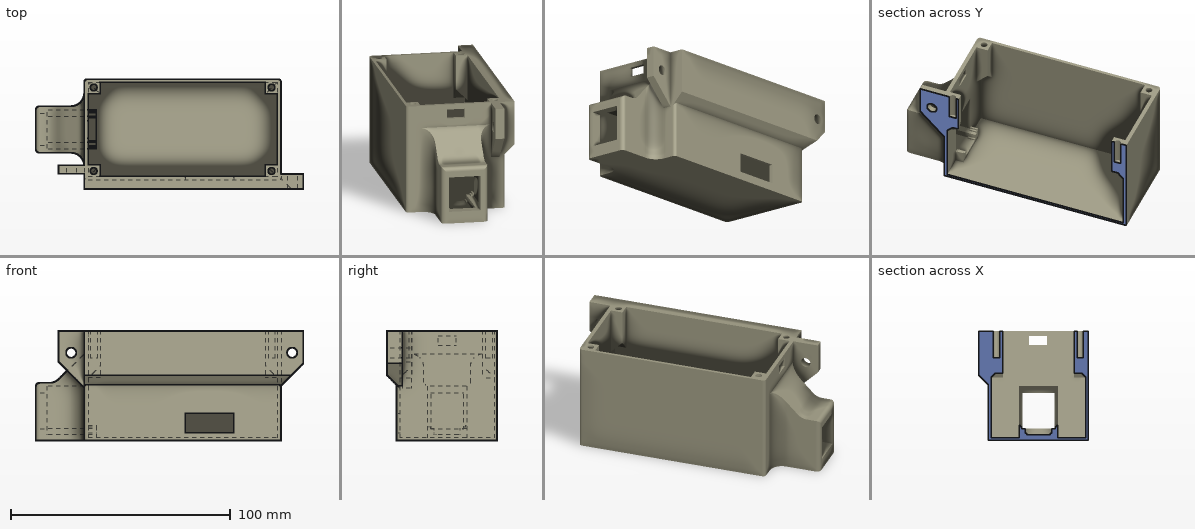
import cadquery as cq
import math

height = 50.0
depth = 50.1
length = 122.0

box_left = 22.1
box_right = 111.9
box_front = 4.3
corner_radius = 1.5
end_wall = 1.8
front_wall = 1.6
back_wall = 1.3
floor = 1.5
box_mid_y = (box_front + depth) / 2

post_x = 5.5
post_y = 5.4
post_height = 15.9
post_hole_diameter = 3.0
post_hole_depth = 12.2
post_hole_offset = 2.9

flange_thickness = 7.0
flange_drop = 20.3
ear_left_end = 10.4
ear_left_thickness = 4.0
ear_left_drop = 14.2
ear_right_drop = 14.9
ear_hole_diameter = 4.5
ear_hole_drop = 10.0
ear_hole_left_x = 16.2
ear_hole_right_x = 116.9

snout_width = 21.4
snout_height = 26.4
snout_edge_radius = 2.0
flare_radius = 5.9
snout_flat_end = 6.3
ramp_radius = 6.0

jack_mid_y = 27.3
mouth_width = 14.6
mouth_bottom = 5.5
mouth_top = 21.7
mouth_depth = 5.0
tunnel_width = 17.9
tunnel_floor = 2.8
tunnel_top = 24.9
rail_end = 27.6
rail_top = 5.6
rail_gap = 11.8
toe_width = 0.7
step_width = 0.7
step_height = 0.7

window_left = 68.1
window_right = 90.2
window_bottom = 3.7
window_top = 12.5
slot_width = 8.2
slot_bottom = 43.4
slot_top = 47.7


def block(x0, x1, y0, y1, z0, z1):
    return cq.Workplane("XY").box(x1 - x0, y1 - y0, z1 - z0, centered=False).translate((x0, y0, z0))


def prism_along_y(outline, y0, y1):
    """Extrude a closed XZ workplane outline from y0 to y1."""
    return outline.extrude(y0 - y1).translate((0, y0, 0))


def prism_along_x(outline, x0, x1):
    """Extrude a closed YZ workplane outline from x0 to x1."""
    return outline.extrude(x1 - x0).translate((x0, 0, 0))


inner_left = box_left + end_wall
inner_right = box_right - end_wall
inner_front = box_front + front_wall
inner_back = depth - back_wall

outer_box = block(box_left, box_right, box_front, depth, 0, height).edges("|Z").fillet(corner_radius)
cavity = block(inner_left, inner_right, inner_front, inner_back, floor, height)


def make_flange():
    """Bar with its underside running back at 45 degrees to the box and up at 45 degrees to the right end."""
    slope_bottom = height - flange_drop - flange_thickness
    section = [
        (0, height),
        (0, height - flange_drop),
        (flange_thickness, slope_bottom),
        (flange_thickness, height),
    ]
    bar = prism_along_x(cq.Workplane("YZ").polyline(section).close(), box_left, length)
    ear_slope = length - inner_right
    ear_corner = height - ear_right_drop
    face = [
        (box_left, height),
        (box_left, slope_bottom),
        (inner_right, slope_bottom),
        (inner_right, ear_corner - ear_slope),
        (length, ear_corner),
        (length, height),
    ]
    return bar.intersect(prism_along_y(cq.Workplane("XZ").polyline(face).close(), 0, flange_thickness))


def make_left_ear():
    """Plate behind the flange whose lower edge falls at 45 degrees towards the box."""
    ear_corner = height - ear_left_drop
    root_bottom = ear_corner - (box_left - ear_left_end)
    face = [
        (ear_left_end, height),
        (ear_left_end, ear_corner),
        (box_left, root_bottom),
        (inner_left, root_bottom),
        (inner_left, height),
    ]
    outline = cq.Workplane("XZ").polyline(face).close()
    return prism_along_y(outline, flange_thickness, flange_thickness + ear_left_thickness)


def ear_hole(x):
    outline = cq.Workplane("XZ").center(x, height - ear_hole_drop).circle(ear_hole_diameter / 2)
    return prism_along_y(outline, 0, flange_thickness + ear_left_thickness)


def post_corners(x_side, y_side):
    """Wall corner and free corner of the post; x_side and y_side are -1 or 1."""
    wall_x = inner_left if x_side < 0 else inner_right
    wall_y = inner_front if y_side < 0 else inner_back
    return wall_x, wall_y, wall_x - x_side * post_x, wall_y - y_side * post_y


def make_post(x_side, y_side):
    """Post in one box corner, carried on the walls by two 45 degree wedges."""
    wall_x, wall_y, free_x, free_y = post_corners(x_side, y_side)
    bottom = height - post_height
    low_x, high_x = sorted((wall_x, free_x))
    low_y, high_y = sorted((wall_y, free_y))
    x_wedge = [(free_x, bottom), (wall_x, bottom), (wall_x, bottom - post_x)]
    y_wedge = [(free_y, bottom), (wall_y, bottom), (wall_y, bottom - post_y)]
    post = block(low_x, high_x, low_y, high_y, bottom, height)
    post = post.union(prism_along_y(cq.Workplane("XZ").polyline(x_wedge).close(), low_y, high_y))
    return post.union(prism_along_x(cq.Workplane("YZ").polyline(y_wedge).close(), low_x, high_x))


def post_hole(x_side, y_side):
    free_x, free_y = post_corners(x_side, y_side)[2:]
    x = free_x + x_side * post_hole_offset
    y = free_y + y_side * post_hole_offset
    hole = cq.Workplane("XY").circle(post_hole_diameter / 2).extrude(post_hole_depth)
    return hole.translate((x, y, height - post_hole_depth))


def make_snout():
    root = box_left + end_wall / 2
    edge = snout_edge_radius
    edge_mid = edge * (1 - math.sqrt(0.5))

    ramp_angle = math.radians(45)
    ramp_start_x = snout_flat_end + ramp_radius * math.sin(ramp_angle)
    ramp_start_z = snout_height + ramp_radius * (1 - math.cos(ramp_angle))
    arc_mid_x = snout_flat_end + ramp_radius * math.sin(ramp_angle / 2)
    arc_mid_z = snout_height + ramp_radius * (1 - math.cos(ramp_angle / 2))
    side = (
        cq.Workplane("XZ")
        .moveTo(0, 0)
        .lineTo(0, snout_height - edge)
        .threePointArc((edge_mid, snout_height - edge_mid), (edge, snout_height))
        .lineTo(snout_flat_end, snout_height)
        .threePointArc((arc_mid_x, arc_mid_z), (ramp_start_x, ramp_start_z))
        .lineTo(root, ramp_start_z + root - ramp_start_x)
        .lineTo(root, 0)
        .close()
    )

    half = snout_width / 2
    flare_start = box_left - flare_radius
    flare_mid_x = flare_start + flare_radius * math.sqrt(0.5)
    flare_mid_y = half + flare_radius * (1 - math.sqrt(0.5))
    flared_half = half + flare_radius
    plan = (
        cq.Workplane("XY")
        .moveTo(root, -flared_half)
        .lineTo(box_left, -flared_half)
        .threePointArc((flare_mid_x, -flare_mid_y), (flare_start, -half))
        .lineTo(edge, -half)
        .threePointArc((edge_mid, edge_mid - half), (0, edge - half))
        .lineTo(0, half - edge)
        .threePointArc((edge_mid, half - edge_mid), (edge, half))
        .lineTo(flare_start, half)
        .threePointArc((flare_mid_x, flare_mid_y), (box_left, flared_half))
        .lineTo(root, flared_half)
        .close()
        .extrude(height)
        .translate((0, box_mid_y, 0))
    )
    return plan.intersect(prism_along_y(side, box_mid_y - flared_half, box_mid_y + flared_half))


def centred_block(x0, x1, mid_y, width, z0, z1):
    return block(x0, x1, mid_y - width / 2, mid_y + width / 2, z0, z1)


def make_tunnel():
    mouth = centred_block(0, mouth_depth, jack_mid_y, mouth_width, mouth_bottom, mouth_top)
    chamber = centred_block(mouth_depth, inner_left, jack_mid_y, tunnel_width, rail_top, tunnel_top)
    channel = centred_block(mouth_depth, inner_left, jack_mid_y, rail_gap, tunnel_floor, rail_top)
    return mouth.union(chamber).union(channel)


def make_bed_end():
    """End of the tunnel bed inside the box: the rails, each with a toe and two outer steps."""
    half = tunnel_width / 2
    rail_half = rail_gap / 2
    treads = [
        (half, half - step_width, rail_top + 2 * step_height),
        (half - step_width, half - 2 * step_width, rail_top + step_height),
        (half - 2 * step_width, rail_half, rail_top),
        (rail_half, rail_half - toe_width, tunnel_floor + step_height),
    ]
    near_side = [(-half, floor)]
    for outer, inner, top in treads:
        near_side += [(-outer, top), (-inner, top)]
    near_side.append((toe_width - rail_half, tunnel_floor))
    far_side = [(-y, z) for y, z in reversed(near_side)]
    outline = cq.Workplane("YZ").polyline(near_side + far_side).close()
    return prism_along_x(outline, inner_left, rail_end).translate((0, jack_mid_y, 0))


corners = [(x_side, y_side) for x_side in (-1, 1) for y_side in (-1, 1)]

result = outer_box.union(make_flange()).union(make_left_ear()).union(make_snout())
result = result.cut(cavity)
for x_side, y_side in corners:
    result = result.union(make_post(x_side, y_side))
for x_side, y_side in corners:
    result = result.cut(post_hole(x_side, y_side))
for hole_x in (ear_hole_left_x, ear_hole_right_x):
    result = result.cut(ear_hole(hole_x))
result = result.cut(make_tunnel()).union(make_bed_end())
result = result.cut(block(window_left, window_right, box_front, inner_front, window_bottom, window_top))
result = result.cut(centred_block(box_left, inner_left, box_mid_y, slot_width, slot_bottom, slot_top))